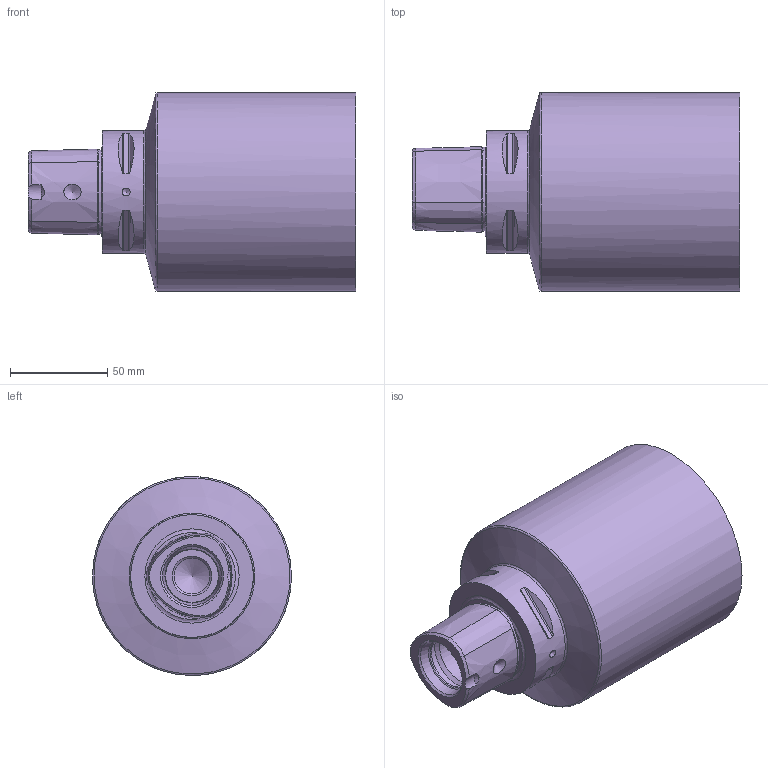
import cadquery as cq
import math


FLANGE_RADIUS = 31.5

BODY_RADIUS = 51.0
BODY_END = 130.0
CONE_END = 27.3
CONE_ANGLE = math.radians(15)
BODY_EDGE_FILLET = 1.0

SHANK_LENGTH = 38.0
SHANK_RADIUS = 22.05
LOBE_ECCENTRICITY = 1.4
LOBE_PITCH = 120
LOBE_ANGLES = (0, LOBE_PITCH, 2 * LOBE_PITCH)
LOBE_HALF_ANGLE = 30
TAPER = 0.025
NOSE_LENGTH = 1.7
NOSE_DROP = 0.7
NECK_LENGTH = 2.4
NECK_DEPTH = 0.5

ROOT_RADIUS = 22.3
ROOT_OUTER_RADIUS = 24.2
ROOT_LENGTH = 0.6

MOUTH_RADIUS = 16.1
MOUTH_CHAMFER = 1.0
THROAT_RADIUS = 13.5
THROAT_START = 6.2
THROAT_LENGTH = 1.0
THROAT_CHAMFER = 0.5
CLAMP_GROOVE_RADIUS = 15.5
CLAMP_GROOVE_LENGTH = 4.4
CLAMP_GROOVE_RUNOUT = 2.0
COUNTERBORE_RADIUS = 14.0
COUNTERBORE_DEPTH = 28.0
PILOT_RADIUS = 9.1
PILOT_CHAMFER = 1.1
PILOT_DEPTH = 50.0
DRILL_HALF_ANGLE = math.radians(59)

SLOT_X = 12.2
SLOT_FLOOR_RADIUS = 27.9
SLOT_FLOOR_WIDTH = 3.5
SLOT_FLANK_ANGLE = math.radians(33)
SLOT_FLOOR_FILLET = 1.0
SLOT_ANGLES = (45, 135, 225, 315)

SHANK_DIMPLE_X = -15.5
SHANK_DIMPLE_RADIUS = 4.4
FLANGE_DIMPLE_X = SLOT_X
FLANGE_DIMPLE_RADIUS = 2.1

KEY_LENGTH = 6.6
KEY_RADIUS = 5.5
KEY_FLOOR = 18.2


def flat_side_radius(x):
    """Distance from the axis to the -Y side of the tapered shank."""
    return SHANK_RADIUS + TAPER * x - LOBE_ECCENTRICITY


def polar(radius, degrees):
    angle = math.radians(degrees)
    return (radius * math.cos(angle), radius * math.sin(angle))


def lobed_wire(x, mean_radius):
    """Closed three-lobed outline of constant width made of tangent arcs, one lobe toward +Y."""
    center_spacing = LOBE_ECCENTRICITY / (1 / math.sqrt(3) - 1 / 2)
    center_radius = center_spacing / math.sqrt(3)
    lobe_arc_radius = mean_radius - center_spacing / 2
    lobe_radius = mean_radius + LOBE_ECCENTRICITY
    flat_radius = mean_radius - LOBE_ECCENTRICITY

    def arc_end(lobe_angle, side):
        center_y, center_z = polar(center_radius, lobe_angle)
        offset_y, offset_z = polar(lobe_arc_radius, lobe_angle + side * LOBE_HALF_ANGLE)
        return (center_y + offset_y, center_z + offset_z)

    outline = cq.Workplane("YZ", origin=(x, 0, 0)).moveTo(*arc_end(0, -1))
    for lobe_angle in LOBE_ANGLES:
        outline = outline.threePointArc(polar(lobe_radius, lobe_angle), arc_end(lobe_angle, 1))
        flat_angle = lobe_angle + LOBE_PITCH / 2
        outline = outline.threePointArc(polar(flat_radius, flat_angle), arc_end(lobe_angle + LOBE_PITCH, -1))
    return outline.wire().val()


def lobed_loft(sections):
    """Solid with straight sides through (x, mean radius) sections."""
    wires = [lobed_wire(x, mean_radius) for x, mean_radius in sections]
    return cq.Workplane(cq.Solid.makeLoft(wires, True))


def revolved(profile):
    return profile.close().revolve(360, (0, 0, 0), (1, 0, 0))


def fillet_circle_at(body, x):
    """Round the one circular edge that lies in the plane at x."""
    margin = 0.1
    reach = 2 * BODY_RADIUS
    selector = cq.selectors.BoxSelector(
        (x - margin, -reach, -reach), (x + margin, reach, reach), boundingbox=True
    )
    return body.edges(selector).fillet(BODY_EDGE_FILLET)


def make_body():
    cone_start = CONE_END - (BODY_RADIUS - FLANGE_RADIUS) * math.tan(CONE_ANGLE)
    profile = (
        cq.Workplane("XY")
        .lineTo(0, FLANGE_RADIUS)
        .lineTo(cone_start, FLANGE_RADIUS)
        .lineTo(CONE_END, BODY_RADIUS)
        .lineTo(BODY_END, BODY_RADIUS)
        .lineTo(BODY_END, 0)
    )
    body = revolved(profile)
    body = fillet_circle_at(body, cone_start)
    return fillet_circle_at(body, CONE_END)


def make_shank():
    nose_x = NOSE_LENGTH - SHANK_LENGTH
    nose_radius = SHANK_RADIUS + TAPER * nose_x
    neck_radius = SHANK_RADIUS - NECK_DEPTH
    overlap = 1.0
    return lobed_loft([
        (-SHANK_LENGTH, nose_radius - NOSE_DROP),
        (nose_x, nose_radius),
        (-NECK_LENGTH, SHANK_RADIUS - TAPER * NECK_LENGTH),
        (NECK_DEPTH - NECK_LENGTH, neck_radius),
        (overlap, neck_radius),
    ])


def make_root_fillet():
    """Short ring with a concave side that runs tangent into the flange face."""
    height = ROOT_OUTER_RADIUS - ROOT_RADIUS
    arc_radius = (ROOT_LENGTH**2 + height**2) / (2 * ROOT_LENGTH)
    half_sweep = math.asin(height / arc_radius) / 2
    middle = (
        arc_radius * (math.cos(half_sweep) - 1),
        ROOT_OUTER_RADIUS - arc_radius * math.sin(half_sweep),
    )
    profile = (
        cq.Workplane("XY")
        .moveTo(-ROOT_LENGTH, 0)
        .lineTo(-ROOT_LENGTH, ROOT_RADIUS)
        .threePointArc(middle, (0, ROOT_OUTER_RADIUS))
        .lineTo(0, 0)
    )
    return revolved(profile)


def make_bore():
    throat_end = THROAT_START + THROAT_LENGTH
    groove_end = throat_end + CLAMP_GROOVE_LENGTH
    tip_depth = PILOT_RADIUS / math.tan(DRILL_HALF_ANGLE)
    profile = (
        cq.Workplane("XY", origin=(-SHANK_LENGTH, 0, 0))
        .lineTo(0, MOUTH_RADIUS)
        .lineTo(MOUTH_CHAMFER, MOUTH_RADIUS - MOUTH_CHAMFER)
        .lineTo(THROAT_START - THROAT_CHAMFER, THROAT_RADIUS + THROAT_CHAMFER)
        .lineTo(THROAT_START, THROAT_RADIUS)
        .lineTo(throat_end, THROAT_RADIUS)
        .lineTo(throat_end, CLAMP_GROOVE_RADIUS)
        .lineTo(groove_end, CLAMP_GROOVE_RADIUS)
        .lineTo(groove_end + CLAMP_GROOVE_RUNOUT, COUNTERBORE_RADIUS)
        .lineTo(COUNTERBORE_DEPTH, COUNTERBORE_RADIUS)
        .lineTo(COUNTERBORE_DEPTH, PILOT_RADIUS + PILOT_CHAMFER)
        .lineTo(COUNTERBORE_DEPTH + PILOT_CHAMFER, PILOT_RADIUS)
        .lineTo(PILOT_DEPTH, PILOT_RADIUS)
        .lineTo(PILOT_DEPTH + tip_depth, 0)
    )
    return revolved(profile)


def make_gripper_slot(angle):
    depth = FLANGE_RADIUS - SLOT_FLOOR_RADIUS
    half_floor = SLOT_FLOOR_WIDTH / 2
    half_mouth = half_floor + depth * math.tan(SLOT_FLANK_ANGLE)
    slot = (
        cq.Workplane("XY")
        .moveTo(SLOT_X - half_floor, SLOT_FLOOR_RADIUS)
        .lineTo(SLOT_X - half_mouth, FLANGE_RADIUS)
        .lineTo(SLOT_X + half_mouth, FLANGE_RADIUS)
        .lineTo(SLOT_X + half_floor, SLOT_FLOOR_RADIUS)
        .close()
        .extrude(FLANGE_RADIUS, both=True)
        .faces("<Y")
        .edges("|Z")
        .fillet(SLOT_FLOOR_FILLET)
    )
    return slot.rotate((0, 0, 0), (1, 0, 0), angle)


def make_dimple(x, surface_radius, radius):
    """Drill-point cone sunk into the -Y side, extended past the surface."""
    depth = radius / math.tan(DRILL_HALF_ANGLE)
    scale = 2
    cone = cq.Solid.makeCone(
        0, scale * radius, scale * depth, cq.Vector(x, depth - surface_radius, 0), cq.Vector(0, -1, 0)
    )
    return cq.Workplane(cone)


def make_key_groove():
    profile = (
        cq.Workplane("XY", origin=(-SHANK_LENGTH, 0, 0))
        .lineTo(0, KEY_RADIUS)
        .lineTo(KEY_LENGTH, KEY_RADIUS)
        .lineTo(KEY_LENGTH + KEY_RADIUS, 0)
    )
    return revolved(profile).translate((0, -KEY_FLOOR - KEY_RADIUS, 0))


result = make_body().union(make_root_fillet()).union(make_shank()).cut(make_bore())
for slot_angle in SLOT_ANGLES:
    result = result.cut(make_gripper_slot(slot_angle))
result = result.cut(make_dimple(SHANK_DIMPLE_X, flat_side_radius(SHANK_DIMPLE_X), SHANK_DIMPLE_RADIUS))
result = result.cut(make_dimple(FLANGE_DIMPLE_X, FLANGE_RADIUS, FLANGE_DIMPLE_RADIUS))
result = result.cut(make_key_groove())